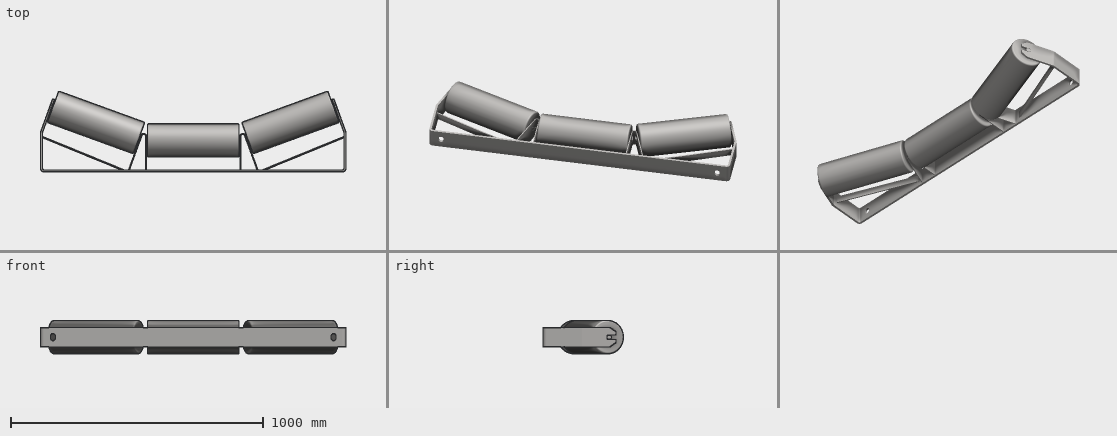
import cadquery as cq
import math


frame_length = 1210.0
frame_height = 76.0
frame_thickness = 8.0
frame_bend_radius = 15.0
tip_bevel_length = 24.0
tip_bevel_height = 16.0
mount_slot_x = 555.0
mount_slot_width = 20.0
mount_slot_height = 27.0

roller_diameter = 133.0
roller_length = 363.0
roller_edge_radius = 6.0
shaft_diameter = 19.0
shaft_flat_width = 15.0
end_gap = 4.0
trough_angle = 20.0
middle_axis_y = 125.0
side_roller_x = 385.0
side_roller_y = 196.0

shaft_slot_width = 18.0
shaft_slot_corner_radius = 5.0
tip_above_axis = 29.0

bracket_height = 70.0
bracket_thickness = 4.0
bracket_bend_radius = 11.0

brace_height = 30.0
brace_thickness = 5.0
brace_wall_y = 140.0
brace_foot_x = 273.0

half_length = frame_length / 2
support_distance = roller_length / 2 + end_gap
tilt_sin = math.sin(math.radians(trough_angle))
tilt_cos = math.cos(math.radians(trough_angle))


def side_point(outward, above):
    """Point near the +X roller, measured along its axis and square to it from its middle."""
    x = side_roller_x + outward * tilt_cos - above * tilt_sin
    y = side_roller_y + outward * tilt_sin + above * tilt_cos
    return x, y


def side_x_at(outward, y):
    """X of the line square to the +X roller axis, at a given Y."""
    above = (y - side_roller_y - outward * tilt_sin) / tilt_cos
    return side_point(outward, above)[0]


def side_y_at(outward, x):
    """Y of the line square to the +X roller axis, at a given X."""
    above = (side_roller_x + outward * tilt_cos - x) / tilt_sin
    return side_point(outward, above)[1]


def strip(outline, height):
    """Extrude a closed XY outline to a height centred on Z = 0."""
    return outline.extrude(height).translate((0, 0, -height / 2))


def on_side_roller(body):
    """Move a body modelled about the origin, axis along X, onto the +X roller axis."""
    tilted = body.rotate((0, 0, 0), (0, 0, 1), trough_angle)
    return tilted.translate((side_roller_x, side_roller_y, 0))


def mirrored(body):
    """Copy of a body on the other side of X = 0."""
    return body.mirror("YZ")


def shaft_slot(wall_x, reach):
    """Cutter for a slot open towards +Y, for a shaft on the X axis, through a wall at wall_x."""
    slot_bottom = -shaft_diameter / 2
    slot_top = 2 * tip_above_axis
    cutter = cq.Workplane("XY").box(reach, slot_top - slot_bottom, shaft_slot_width)
    cutter = cutter.edges("|X and <Y").fillet(shaft_slot_corner_radius)
    return cutter.translate((wall_x, (slot_top + slot_bottom) / 2, 0))


def tip_bevel(wall_x):
    """Cutter that bevels both corners of a frame tip."""
    half = frame_height / 2
    corner = (
        cq.Workplane("YZ")
        .moveTo(tip_above_axis, half)
        .lineTo(tip_above_axis - tip_bevel_length, half)
        .lineTo(tip_above_axis, half - tip_bevel_height)
        .close()
        .extrude(frame_thickness, both=True)
        .translate((wall_x, 0, 0))
    )
    return corner.union(corner.mirror("XY"))


def round_upright_edge(body, x, y, radius):
    """Round the edge along Z that passes through a given X and Y."""
    edge = cq.selectors.NearestToPointSelector((x, y, 0))
    return body.edges(edge).fillet(radius)


def make_frame():
    """Strip with both ends folded up and inwards; each tip is slotted and bevelled."""
    inner_face = support_distance
    outer_face = support_distance + frame_thickness
    inner_x = half_length - frame_thickness
    half_outline = [
        (0, 0),
        (half_length, 0),
        (half_length, side_y_at(outer_face, half_length)),
        side_point(outer_face, tip_above_axis),
        side_point(inner_face, tip_above_axis),
        (inner_x, side_y_at(inner_face, inner_x)),
        (inner_x, frame_thickness),
        (0, frame_thickness),
    ]
    half = strip(cq.Workplane("XY").polyline(half_outline).close(), frame_height)
    outer_bends = [(half_length, 0), half_outline[2]]
    inner_bends = [(inner_x, frame_thickness), half_outline[5]]
    for x, y in outer_bends:
        half = round_upright_edge(half, x, y, frame_bend_radius)
    for x, y in inner_bends:
        half = round_upright_edge(half, x, y, frame_bend_radius - frame_thickness)
    wall_middle = (inner_face + outer_face) / 2
    half = half.cut(on_side_roller(shaft_slot(wall_middle, 2 * frame_thickness)))
    half = half.cut(on_side_roller(tip_bevel(wall_middle)))
    mount_slot = (
        cq.Workplane("XZ")
        .center(mount_slot_x, 0)
        .slot2D(mount_slot_height, mount_slot_width, 90)
        .extrude(-frame_thickness)
    )
    half = half.cut(mount_slot)
    return half.union(mirrored(half))


def make_drum():
    """Solid roller drum about the X axis, with rounded end edges."""
    drum = cq.Workplane("YZ").circle(roller_diameter / 2).extrude(roller_length)
    return drum.edges("%CIRCLE").fillet(roller_edge_radius).translate((-roller_length / 2, 0, 0))


def make_roller(left_reach, right_reach):
    """Roller about the X axis; its double-flatted shaft reaches out to the outer support faces."""
    length = left_reach + right_reach
    shaft = cq.Workplane("YZ").circle(shaft_diameter / 2).extrude(length)
    flats = cq.Workplane("YZ").rect(shaft_diameter, shaft_flat_width).extrude(length)
    return make_drum().union(shaft.intersect(flats).translate((-left_reach, 0, 0)))


def bracket_outline(inset):
    """Outline of an inverted V with a round top, standing on the frame, shrunk by an inset."""
    upright_x = support_distance + inset
    tilted_face = -support_distance - inset
    radius = bracket_bend_radius - inset
    bend_x = support_distance + bracket_bend_radius
    bend_y = side_y_at(-support_distance - bracket_bend_radius, bend_x)
    tilted_end = (bend_x + radius * tilt_cos, bend_y + radius * tilt_sin)
    arc_top = (bend_x, bend_y + radius)
    return (
        cq.Workplane("XY")
        .moveTo(upright_x, frame_thickness)
        .lineTo(upright_x, bend_y)
        .threePointArc(arc_top, tilted_end)
        .lineTo(side_x_at(tilted_face, frame_thickness), frame_thickness)
        .close()
    )


def make_bracket():
    """Bent strip on the +X side; its two legs carry the middle and the side roller shafts."""
    bracket = strip(bracket_outline(0), bracket_height)
    bracket = bracket.cut(strip(bracket_outline(bracket_thickness), bracket_height))
    leg_middle = support_distance + bracket_thickness / 2
    reach = 2 * bracket_thickness
    bracket = bracket.cut(shaft_slot(leg_middle, reach).translate((0, middle_axis_y, 0)))
    return bracket.cut(on_side_roller(shaft_slot(-leg_middle, reach)))


def make_brace():
    """Flat bar on the +X side, sloping from the end wall down to the base of the frame."""
    wall_x = half_length - frame_thickness
    slope = math.atan2(brace_wall_y - frame_thickness, wall_x - brace_foot_x)
    outline = [
        (brace_foot_x, frame_thickness),
        (wall_x, brace_wall_y),
        (wall_x, brace_wall_y - brace_thickness / math.cos(slope)),
        (brace_foot_x + brace_thickness / math.sin(slope), frame_thickness),
    ]
    return strip(cq.Workplane("XY").polyline(outline).close(), brace_height)


frame = make_frame()
bracket_reach = support_distance + bracket_thickness
frame_reach = support_distance + frame_thickness
middle_roller = make_roller(bracket_reach, bracket_reach).translate((0, middle_axis_y, 0))
side_roller = on_side_roller(make_roller(bracket_reach, frame_reach))
bracket = make_bracket()
brace = make_brace()

bodies = [frame.val(), middle_roller.val()]
for body in (side_roller, bracket, brace):
    bodies += [body.val(), mirrored(body).val()]

result = cq.Compound.makeCompound(bodies)